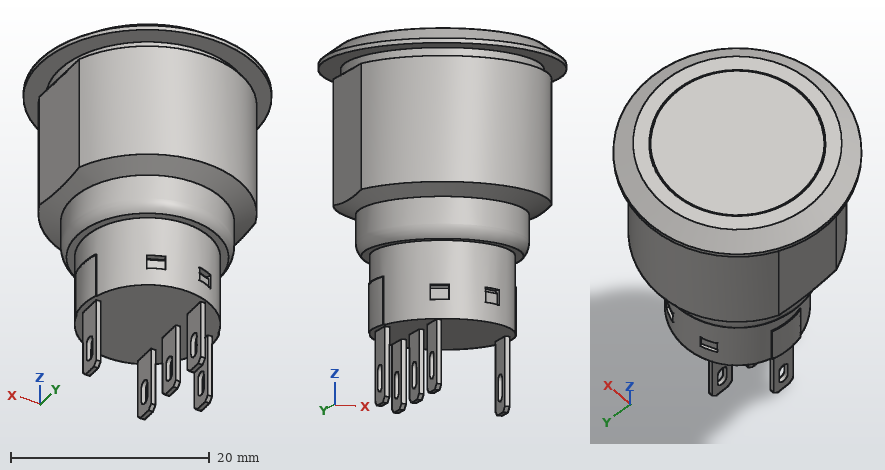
import cadquery as cq
import math

total_height = 37
flange_chamfer_height = 1.48
flange_rim_height = 0.48
neck_height = 1.0
base_z = 7.75
collar_bottom_z = 15.8
collar_top_z = 20.0
barrel_bottom_z = 21.05

flange_chamfer_z = total_height - flange_chamfer_height
flange_bottom_z = flange_chamfer_z - flange_rim_height
barrel_top_z = flange_bottom_z - neck_height

flange_diameter = 25.0
flange_top_diameter = 21.0
neck_diameter = 20.5
barrel_diameter = 22.0
collar_diameter = 17.5
base_diameter = 14.7

collar_round_radius = 2.0
collar_round_height = 1.4

button_diameter = 17.5
button_gap_diameter = 17.75
button_gap_depth = 0.37

key_width = 4.0
key_height = 5.0
key_diameter = 14.9

window_angle = 23
window_width = 1.9
window_bottom_z = 9.73
window_height = 1.55
window_floor_diameter = 13.3
tab_radius = 7.0
tab_bevel = tab_radius - window_floor_diameter / 2

terminal_thickness = 0.5
terminal_width = 2.75
terminal_corner = 0.5
terminal_embed = 0.75
slot_width = 1.2
slot_length = 2.78
slot_tip_gap = 1.3
end_terminal_x = 6.48
middle_terminal_x = -2.78
middle_terminal_pitch = 5.0
short_tip_z = 0.6


def disc(diameter, bottom_z, top_z):
    """Upright cylinder on the Z axis."""
    return cq.Workplane("XY").workplane(offset=bottom_z).circle(diameter / 2).extrude(top_z - bottom_z)


def turned_body():
    """Revolved flange, neck, barrel, collar and base."""
    base_radius = base_diameter / 2
    collar_radius = collar_diameter / 2
    arc_top_z = collar_bottom_z + collar_round_height
    arc_center_r = collar_radius - collar_round_radius
    arc_sweep = math.asin(collar_round_height / collar_round_radius)

    def arc_point(angle):
        return (
            arc_center_r + collar_round_radius * math.cos(angle),
            arc_top_z - collar_round_radius * math.sin(angle),
        )

    return (
        cq.Workplane("XZ")
        .moveTo(0, base_z)
        .lineTo(base_radius, base_z)
        .lineTo(base_radius, collar_bottom_z)
        .lineTo(*arc_point(arc_sweep))
        .threePointArc(arc_point(arc_sweep / 2), arc_point(0))
        .lineTo(collar_radius, collar_top_z)
        .lineTo(barrel_diameter / 2, barrel_bottom_z)
        .lineTo(barrel_diameter / 2, barrel_top_z)
        .lineTo(neck_diameter / 2, barrel_top_z)
        .lineTo(neck_diameter / 2, flange_bottom_z)
        .lineTo(flange_diameter / 2, flange_bottom_z)
        .lineTo(flange_diameter / 2, flange_chamfer_z)
        .lineTo(flange_top_diameter / 2, total_height)
        .lineTo(0, total_height)
        .close()
        .revolve(360, (0, 0), (0, 1))
    )


def barrel_flats():
    """Material outside the two X flats, which are level with the neck."""
    height = barrel_top_z - collar_top_z
    outside = cq.Workplane("XY").box(flange_diameter, flange_diameter, height)
    kept = cq.Workplane("XY").box(neck_diameter, flange_diameter, height)
    return outside.cut(kept).translate((0, 0, collar_top_z + height / 2))


def button_gap():
    """Thin ring gap around the button."""
    bottom_z = total_height - button_gap_depth
    return disc(button_gap_diameter, bottom_z, total_height).cut(
        disc(button_diameter, bottom_z, total_height)
    )


def keys():
    """Slightly raised curved keys on the -X and +X sides."""
    middle_z = base_z + key_height / 2
    strip = cq.Workplane("XY").box(key_diameter, key_width, key_height).translate((0, 0, middle_z))
    return disc(key_diameter, base_z, base_z + key_height).intersect(strip)


def window(angle):
    """Snap window whose floor slopes inward at the top, turned about Z."""
    top_z = window_bottom_z + window_height
    return (
        cq.Workplane("XZ")
        .polyline([
            (tab_radius, window_bottom_z),
            (base_diameter, window_bottom_z),
            (base_diameter, top_z),
            (tab_radius - tab_bevel, top_z),
            (tab_radius, top_z - tab_bevel),
        ])
        .close()
        .extrude(window_width / 2, both=True)
        .rotate((0, 0, 0), (0, 0, 1), angle)
    )


def terminal(x, y, tip_z):
    """Flat solder terminal with clipped corners and a round-ended slot."""
    length = base_z + terminal_embed - tip_z
    slot_z = tip_z + slot_tip_gap + slot_length / 2
    blade = (
        cq.Workplane("XY")
        .box(terminal_thickness, terminal_width, length)
        .edges("|X and <Z")
        .chamfer(terminal_corner)
        .translate((x, y, tip_z + length / 2))
    )
    slot = (
        cq.Workplane("YZ")
        .center(y, slot_z)
        .slot2D(slot_length, slot_width, 90)
        .extrude(terminal_thickness, both=True)
        .translate((x, 0, 0))
    )
    return blade.cut(slot)


result = turned_body().cut(barrel_flats()).cut(button_gap()).union(keys())

for side_angle in (90, 270):
    for turn in (-window_angle, window_angle):
        result = result.cut(window(side_angle + turn))

for x in (-end_terminal_x, end_terminal_x):
    result = result.union(terminal(x, 0, 0))

for y in (-middle_terminal_pitch, 0, middle_terminal_pitch):
    result = result.union(terminal(middle_terminal_x, y, short_tip_z))